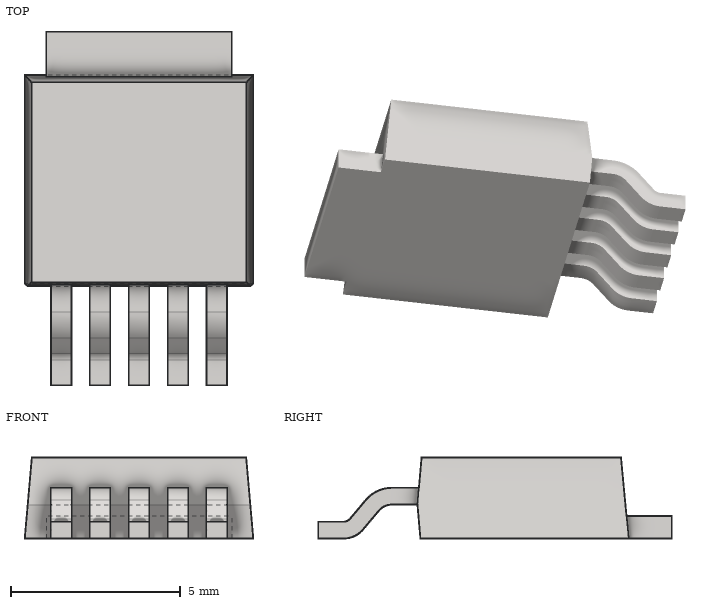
import cadquery as cq
import math


housing_width = 6.73
housing_depth = 6.22
housing_height = 2.39
draft_angle = math.radians(5)
rear_draft_angle = math.radians(5.4)
parting_height = 1.0

tab_width = 5.46
tab_thickness = 0.67
tab_reach = 1.27

lead_count = 5
lead_pitch = 1.145
lead_width = 0.61
lead_thickness = 0.5
lead_reach = 2.92
foot_length = 0.75
bend_angle = math.radians(50)
upper_inner_radius = 0.5
lower_inner_radius = 0.25

front_y = -housing_depth / 2
rear_y = housing_depth / 2
draft_slope = math.tan(draft_angle)
rear_draft_slope = math.tan(rear_draft_angle)


def centred_prism(plane, points, length):
    """Extrude a closed outline equally to both sides of a plane through the origin."""
    return cq.Workplane(plane).polyline(points).close().extrude(length / 2, both=True)


def make_housing():
    """Block with drafted sides and rear; the front slopes inward above and below its parting line."""
    side_top_inset = housing_height * draft_slope
    front_bottom_inset = parting_height * draft_slope
    front_top_inset = (housing_height - parting_height) * draft_slope
    side_profile = [
        (rear_y, 0),
        (rear_y - housing_height * rear_draft_slope, housing_height),
        (front_y + front_top_inset, housing_height),
        (front_y, parting_height),
        (front_y + front_bottom_inset, 0),
    ]
    half_width = housing_width / 2
    front_profile = [
        (-half_width, 0),
        (half_width, 0),
        (half_width - side_top_inset, housing_height),
        (-half_width + side_top_inset, housing_height),
    ]
    side_prism = centred_prism("YZ", side_profile, housing_width)
    return side_prism.intersect(centred_prism("XZ", front_profile, housing_depth))


def make_tab():
    """Flat tab whose inner end follows the sloping rear face of the housing."""
    tab_end = rear_y + tab_reach
    profile = [
        (rear_y, 0),
        (tab_end, 0),
        (tab_end, tab_thickness),
        (rear_y - tab_thickness * rear_draft_slope, tab_thickness),
    ]
    return centred_prism("YZ", profile, tab_width)


def make_lead(x):
    """Gull-wing lead centred at x, its inner end following the housing's front face."""
    upper_outer_radius = upper_inner_radius + lead_thickness
    lower_outer_radius = lower_inner_radius + lead_thickness
    shank_bottom = parting_height
    shank_top = shank_bottom + lead_thickness

    radius_sum = upper_outer_radius + lower_inner_radius
    bend_drop = radius_sum * (1 - math.cos(bend_angle))
    ramp_length = (shank_bottom - bend_drop) / math.sin(bend_angle)
    bend_run = radius_sum * math.sin(bend_angle) + ramp_length * math.cos(bend_angle)

    tip_y = front_y - lead_reach
    foot_y = tip_y + foot_length
    shank_y = foot_y + bend_run
    upper_centre = (shank_y, shank_bottom - upper_inner_radius)
    lower_centre = (foot_y, lower_outer_radius)

    def upper_point(radius, angle):
        return (
            upper_centre[0] - radius * math.sin(angle),
            upper_centre[1] + radius * math.cos(angle),
        )

    def lower_point(radius, angle):
        return (
            lower_centre[0] + radius * math.sin(angle),
            lower_centre[1] - radius * math.cos(angle),
        )

    mid_angle = bend_angle / 2
    return (
        cq.Workplane("YZ", origin=(x, 0, 0))
        .moveTo(front_y, shank_bottom)
        .lineTo(front_y + lead_thickness * draft_slope, shank_top)
        .lineTo(shank_y, shank_top)
        .threePointArc(
            upper_point(upper_outer_radius, mid_angle),
            upper_point(upper_outer_radius, bend_angle),
        )
        .lineTo(*lower_point(lower_inner_radius, bend_angle))
        .threePointArc(
            lower_point(lower_inner_radius, mid_angle),
            (foot_y, lead_thickness),
        )
        .lineTo(tip_y, lead_thickness)
        .lineTo(tip_y, 0)
        .lineTo(foot_y, 0)
        .threePointArc(
            lower_point(lower_outer_radius, mid_angle),
            lower_point(lower_outer_radius, bend_angle),
        )
        .lineTo(*upper_point(upper_inner_radius, bend_angle))
        .threePointArc(
            upper_point(upper_inner_radius, mid_angle),
            (shank_y, shank_bottom),
        )
        .close()
        .extrude(lead_width / 2, both=True)
    )


housing = make_housing()
tab = make_tab()
first_lead_x = -lead_pitch * (lead_count - 1) / 2
leads = [make_lead(first_lead_x + index * lead_pitch) for index in range(lead_count)]

result = cq.Compound.makeCompound(
    [housing.val(), tab.val(), *[lead.val() for lead in leads]]
)